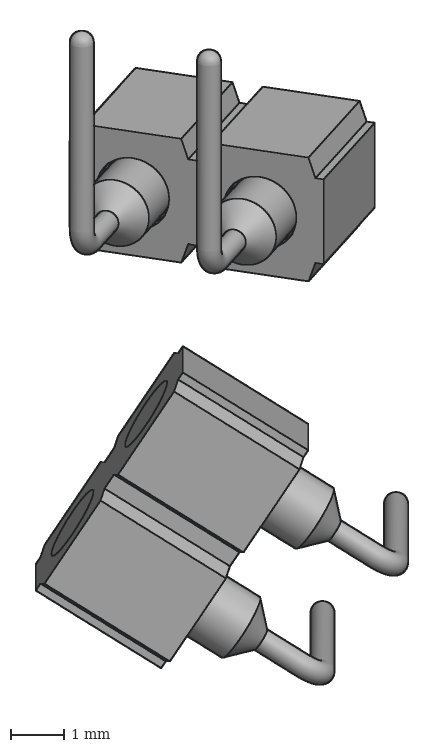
import cadquery as cq


pin_count = 2
pitch = 2.54
housing_depth = 2.8
side_height = 1.74
notch_floor = 0.16
notch_slope = 0.14

head_radius = 0.725
neck_radius = 0.675
shoulder_recess = 0.23
neck_reach = 0.96
cone_length = 0.44
wire_diameter = 0.46
bend_radius = 0.455
tip_rounding = 0.22

overall_depth = 5.81
overall_height = 5.74

wire_radius = wire_diameter / 2
shoulder_length = head_radius - neck_radius
housing_back = housing_depth
cone_end = -neck_reach - cone_length
upright_y = housing_depth - overall_depth + wire_radius
tip_z = overall_height - pitch / 2
pin_positions = [(i - (pin_count - 1) / 2) * pitch for i in range(pin_count)]


def make_cell(x):
    """One cell of the housing: a square block with notched corners, extruded to the back."""
    half_width = pitch / 2
    floor_x = half_width - notch_floor
    top_x = floor_x - notch_slope
    half_side = side_height / 2
    half_height = pitch / 2
    upper_outline = [
        (-half_width, half_side),
        (-floor_x, half_side),
        (-top_x, half_height),
        (top_x, half_height),
        (floor_x, half_side),
        (half_width, half_side),
    ]
    lower_outline = [(px, -pz) for px, pz in reversed(upper_outline)]
    return (
        cq.Workplane("XZ", origin=(x, 0, 0))
        .polyline(upper_outline + lower_outline)
        .close()
        .extrude(-housing_depth)
    )


def make_housing():
    """The joined cells, bored straight through for the pin heads."""
    housing = make_cell(pin_positions[0])
    for x in pin_positions[1:]:
        housing = housing.union(make_cell(x))
    bores = (
        cq.Workplane("XZ")
        .pushPoints([(x, 0) for x in pin_positions])
        .circle(head_radius)
        .extrude(-housing_depth)
    )
    return housing.cut(bores).solids()


def make_turned_body():
    """Head, tapered shoulder, neck and nose cone, revolved about the Y axis."""
    return (
        cq.Workplane("XY")
        .polyline([
            (0, housing_back),
            (head_radius, housing_back),
            (head_radius, shoulder_recess + shoulder_length),
            (neck_radius, shoulder_recess),
            (neck_radius, -neck_reach),
            (wire_radius, cone_end),
            (0, cone_end),
        ])
        .close()
        .revolve(360, (0, 0, 0), (0, 1, 0))
    )


def make_wire():
    """Round wire running forward from the cone, bent upward, with a rounded tip."""
    path = (
        cq.Workplane("YZ")
        .moveTo(cone_end, 0)
        .lineTo(upright_y + bend_radius, 0)
        .tangentArcPoint((upright_y, bend_radius), relative=False)
        .lineTo(upright_y, tip_z)
    )
    wire = cq.Workplane("XZ", origin=(0, cone_end, 0)).circle(wire_radius).sweep(path)
    return wire.faces(">Z").edges().fillet(tip_rounding)


def make_pin(x):
    """One complete pin with its axis at the given X."""
    return make_turned_body().union(make_wire()).translate((x, 0, 0)).solids()


housing = make_housing()
pins = [make_pin(x) for x in pin_positions]

result = cq.Compound.makeCompound([housing.val(), *[pin.val() for pin in pins]])